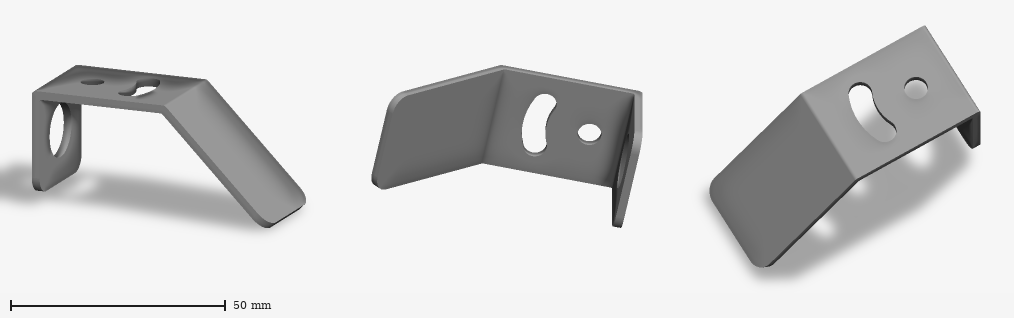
import cadquery as cq
import math

length = 60.0
width = 25.0
leg_height = 25.0
thickness = 2.0

flap_bend_x = 33.65
flap_angle = 45.0
outer_bend_radius = 1.0
inner_bend_radius = 0.5
end_corner_radius = 4.0

leg_hole_diameter = 13.0
leg_hole_depth = 12.5
pivot_x = 10.0
pivot_diameter = 5.5
slot_radius = 13.0
slot_width = pivot_diameter
slot_half_angle = 25.0

flap_run = length - flap_bend_x
inner_bend_x = flap_bend_x - thickness * math.tan(math.radians(flap_angle / 2))


def polar(radius, angle):
    """Point at an angle in degrees around the pivot hole."""
    a = math.radians(angle)
    return (pivot_x + radius * math.cos(a), radius * math.sin(a))


def bent_strip():
    """Constant-thickness strip with sharp bends, centred on Y = 0."""
    slope = math.radians(flap_angle)
    tip = (length, -flap_run * math.tan(slope))
    inner_tip = (tip[0] - thickness * math.sin(slope), tip[1] - thickness * math.cos(slope))
    return (
        cq.Workplane("XZ")
        .polyline([
            (0, -leg_height),
            (0, 0),
            (flap_bend_x, 0),
            tip,
            inner_tip,
            (inner_bend_x, -thickness),
            (thickness, -thickness),
            (thickness, -leg_height),
        ])
        .close()
        .extrude(width / 2, both=True)
    )


def edge_at(x, z):
    """Selector for the edge crossing the symmetry plane at (x, z)."""
    return cq.selectors.NearestToPointSelector((x, 0, z))


def round_bends(body):
    """Round the outside and inside of both bends."""
    for x in (0, flap_bend_x):
        body = body.edges(edge_at(x, 0)).fillet(outer_bend_radius)
    for x in (thickness, inner_bend_x):
        body = body.edges(edge_at(x, -thickness)).fillet(inner_bend_radius)
    return body


def round_ends(body):
    """Round the free corners of the leg and of the flap."""
    slope = math.radians(flap_angle)
    flap_tip_x = length - thickness / 2 * math.sin(slope)
    flap_tip_z = -flap_run * math.tan(slope) - thickness / 2 * math.cos(slope)
    for x, z in ((thickness / 2, -leg_height), (flap_tip_x, flap_tip_z)):
        for y in (-width / 2, width / 2):
            corner = cq.selectors.NearestToPointSelector((x, y, z))
            body = body.edges(corner).fillet(end_corner_radius)
    return body


def arc_slot():
    """Cutter for the curved slot concentric with the pivot hole."""
    inner = slot_radius - slot_width / 2
    outer = slot_radius + slot_width / 2
    end = slot_half_angle
    cap = slot_width / 2
    center = polar(slot_radius, end)
    end_slope = math.radians(end)
    cap_top = (center[0] - cap * math.sin(end_slope), center[1] + cap * math.cos(end_slope))
    cap_bottom = (cap_top[0], -cap_top[1])
    return (
        cq.Workplane("XY")
        .moveTo(*polar(inner, -end))
        .threePointArc(polar(inner, 0), polar(inner, end))
        .threePointArc(cap_top, polar(outer, end))
        .threePointArc(polar(outer, 0), polar(outer, -end))
        .threePointArc(cap_bottom, polar(inner, -end))
        .close()
        .extrude(-thickness)
    )


pivot_hole = cq.Workplane("XY").center(pivot_x, 0).circle(pivot_diameter / 2).extrude(-thickness)
leg_hole = (
    cq.Workplane("YZ")
    .center(0, -leg_hole_depth)
    .circle(leg_hole_diameter / 2)
    .extrude(thickness)
)

result = round_ends(round_bends(bent_strip())).cut(pivot_hole).cut(arc_slot()).cut(leg_hole)